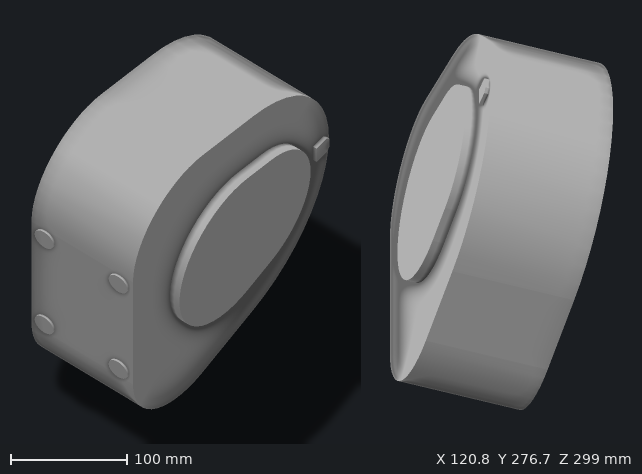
import cadquery as cq
import math

body_width = 110.3
body_height = 299.0
corner_radius = 80.0
crown_radius = 134.8
body_depth = 274.7
corner_y = corner_radius
corner_z = body_height / 2 - corner_radius
crown_y = body_depth - crown_radius

pad_thickness = 10.5
pad_front_radius = 78.0
pad_rear_radius = 70.2
pad_front_y = 129.7
pad_rear_y = 165.3

block_thickness = 4.0
block_size = 18.0
block_chamfer = 3.5
block_edge_gap = 4.2
block_y = body_depth - block_edge_gap - block_size / 2

foot_radius = 10.2
foot_height = 2.0
foot_x_first = 15.2
foot_x_spacing = 80.5
foot_z = 58.0


def on_circle(y, z, radius, angle):
    """Point on a circle, with the angle measured from +Z towards +Y."""
    return y + radius * math.sin(angle), z + radius * math.cos(angle)


def mirrored(point):
    return point[0], -point[1]


def tangent_tilt(front_y, front_z, front_radius, rear_y, rear_radius):
    """Tilt from +Z of the upper tangent to a front circle and a rear circle centred on z = 0."""
    dy = rear_y - front_y
    dz = -front_z
    return math.atan2(dy, dz) - math.acos((front_radius - rear_radius) / math.hypot(dy, dz))


def make_body():
    tilt = tangent_tilt(corner_y, corner_z, corner_radius, crown_y, crown_radius)
    corner_middle = on_circle(corner_y, corner_z, corner_radius, (tilt - math.pi / 2) / 2)
    corner_end = on_circle(corner_y, corner_z, corner_radius, tilt)
    crown_start = on_circle(crown_y, 0, crown_radius, tilt)
    return (
        cq.Workplane("YZ")
        .moveTo(0, -corner_z)
        .lineTo(0, corner_z)
        .threePointArc(corner_middle, corner_end)
        .lineTo(*crown_start)
        .threePointArc((body_depth, 0), mirrored(crown_start))
        .lineTo(*mirrored(corner_end))
        .threePointArc(mirrored(corner_middle), (0, -corner_z))
        .close()
        .extrude(body_width)
    )


def make_pad():
    tilt = tangent_tilt(pad_front_y, 0, pad_front_radius, pad_rear_y, pad_rear_radius)
    front_end = on_circle(pad_front_y, 0, pad_front_radius, tilt)
    rear_start = on_circle(pad_rear_y, 0, pad_rear_radius, tilt)
    return (
        cq.Workplane("YZ", origin=(body_width, 0, 0))
        .moveTo(*front_end)
        .lineTo(*rear_start)
        .threePointArc((pad_rear_y + pad_rear_radius, 0), mirrored(rear_start))
        .lineTo(*mirrored(front_end))
        .threePointArc((pad_front_y - pad_front_radius, 0), front_end)
        .close()
        .extrude(pad_thickness)
    )


def make_block():
    return (
        cq.Workplane("YZ", origin=(body_width, block_y, 0))
        .rect(block_size, block_size)
        .extrude(block_thickness)
        .edges("|X and >Y")
        .chamfer(block_chamfer)
    )


def make_feet():
    foot_centres = [
        (x, z)
        for x in (foot_x_first, foot_x_first + foot_x_spacing)
        for z in (-foot_z, foot_z)
    ]
    return cq.Workplane("XZ").pushPoints(foot_centres).circle(foot_radius).extrude(foot_height)


result = make_body().union(make_pad()).union(make_block()).union(make_feet())